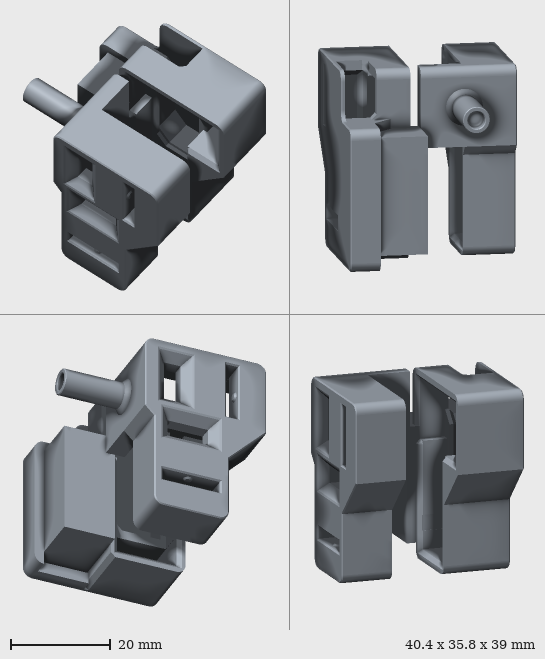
import cadquery as cq

WALL = 2.0
EDGE_BREAK = 0.25
CORNER_REACH = 0.4

HEIGHT = 39.05
TOTAL_DEPTH = 35.8
RIGHT = 26.48
LEG_LEFT = WALL
LEG_RIGHT = 18.32
STEP_Z = 22.85

CAVITY_DEPTH = 6.05
LIP = 0.85
CAVITY_RIGHT = 24.55
CAVITY_LEDGE_Z = 24.38
CAVITY_LEG_LEFT = 3.67
CAVITY_LEG_RIGHT = 16.65
CAVITY_BOTTOM = 1.95

WINDOWS = [(2.7, 10.75, 24.38, 37.37), (3.5, 16.7, 15.8, 23.77)]
RIM_WIDTH = 0.4
RIM_DEPTH = 0.15
FUNNEL_DEPTH = 1.78
HEAD_SLOT = (17.45, 20.65, 24.38, 37.45)
LEG_SLOT = (3.55, 16.7, 5.8, 9.05)
REAR_HEAD_SLOT = (17.65, 20.65, CAVITY_LEDGE_Z, 37.05)
SLOT_RIM = 0.32

BUMP_DIAMETER = 2.0
BUMP_TOP_DIAMETER = 1.37
BUMP_HEIGHT = 0.35
BUMP_DEPTH = 2.0

FRONT_DEPTH = 10.65
TAB_BACK = 19.57
TAB_THICKNESS = 4.1

NOZZLE_TIP_X = -13.9
NOZZLE_Y = 10.75
NOZZLE_Z = 30.9
NOZZLE_DIAMETER = 5.5
NOZZLE_BORE = 3.47
NOZZLE_BORE_DEPTH = 2.42
BORE_END_ROUND = 0.52
BORE_MOUTH_CHAMFER = 0.2
NOZZLE_FLARE = 1.0
NOZZLE_TIP_CHAMFER = 0.15

REAR_FRONT = 21.67
PLATE_INNER_Y = 35.0
REAR_CORNER_CHAMFER = 0.95
ARM_LEFT = -11.1
ARM_TOP = 29.05
ARM_FRONT = 29.7
ARM_FLOOR = 2.45
ARM_FLOOR_FRONT = 32.7
GUSSET_START_X = -3.95

POCKET_FRONT = 29.6
POCKET_TAPER = 1.0
POCKET_NOTCH_RIGHT = 10.85
POCKET_RIGHT = 16.55
POCKET_LEFT = 3.9
POCKET_BOTTOM = 10.0
POCKET_BOTTOM_CHAMFER = 2.83
POCKET_TOP_CHAMFER = 2.0
OVERSHOOT = 4.05

BLOCK_LEFT = -9.0
BLOCK_FRONT = 19.75
BLOCK_BOTTOM = 3.0
BLOCK_TOP = ARM_TOP - WALL


def box(x_min, x_max, y_min, y_max, z_min, z_max):
    size = (x_max - x_min, y_max - y_min, z_max - z_min)
    return cq.Workplane("XY").box(*size, centered=False).translate((x_min, y_min, z_min))


def prism(points, y_min, y_max):
    """Solid with an XZ outline, from y_min to y_max."""
    plane = cq.Workplane("XZ", origin=(0, y_max, 0))
    return plane.polyline(points).close().extrude(y_max - y_min)


def tapered_prism(points, y_start, depth, outset=0.0):
    """XZ outline that grows by outset, then shrinks at 45 degrees along Y (either sense)."""
    if depth < 0:
        sketch = cq.Workplane("XZ", origin=(0, y_start, 0)).polyline(points).close()
    else:
        swapped = [(z, x) for x, z in points]
        sketch = cq.Workplane("ZX", origin=(0, y_start, 0)).polyline(swapped).close()
    if outset:
        sketch = sketch.offset2D(outset, "intersection")
    return sketch.extrude(abs(depth), taper=45)


def rectangle(x_min, x_max, z_min, z_max):
    return [(x_min, z_min), (x_max, z_min), (x_max, z_max), (x_min, z_max)]


def shrink(bounds, inset):
    x_min, x_max, z_min, z_max = bounds
    return (x_min + inset, x_max - inset, z_min + inset, z_max - inset)


def cavity(y_open, direction):
    """Stepped cavity with a chamfered mouth at y_open, running along direction (+1 or -1)."""
    outline = [
        (WALL, HEIGHT - WALL), (CAVITY_RIGHT, HEIGHT - WALL),
        (CAVITY_RIGHT, CAVITY_LEDGE_Z), (CAVITY_LEG_RIGHT, CAVITY_LEDGE_Z),
        (CAVITY_LEG_RIGHT, CAVITY_BOTTOM), (CAVITY_LEG_LEFT, CAVITY_BOTTOM),
        (CAVITY_LEG_LEFT, CAVITY_LEDGE_Z), (WALL, CAVITY_LEDGE_Z),
    ]
    y_floor = y_open + direction * CAVITY_DEPTH
    body = prism(outline, min(y_open, y_floor), max(y_open, y_floor))
    return body.union(tapered_prism(outline, y_open, direction * LIP, LIP))


def right_side_outline():
    """Outline points from the top right corner down to the bottom right corner."""
    return [
        (RIGHT, HEIGHT), (RIGHT, STEP_Z),
        (LEG_RIGHT, STEP_Z - (RIGHT - LEG_RIGHT)), (LEG_RIGHT, 0),
    ]


def edges_at_corner(x, z):
    """Selector for the edges along Y at one corner of an XZ outline."""
    return cq.selectors.BoxSelector(
        (x - CORNER_REACH, -CORNER_REACH, z - CORNER_REACH),
        (x + CORNER_REACH, TOTAL_DEPTH + CORNER_REACH, z + CORNER_REACH),
    )


def round_corners(body, corners, radius):
    """Round the edges along Y that pass through the given (x, z) corners."""
    for x, z in corners:
        body = body.edges("|Y").edges(edges_at_corner(x, z)).fillet(radius)
    return body



def window_cutter(bounds):
    """Shallow rim, 45 degree funnel, then a straight throat into the cavity."""
    inner = shrink(bounds, RIM_WIDTH)
    throat = shrink(inner, FUNNEL_DEPTH)
    x_min, x_max, z_min, z_max = bounds
    rim = (
        cq.Workplane("ZX")
        .center((z_min + z_max) / 2, (x_min + x_max) / 2)
        .rect(z_max - z_min, x_max - x_min)
        .workplane(offset=RIM_DEPTH)
        .rect(inner[3] - inner[2], inner[1] - inner[0])
        .loft(ruled=True)
    )
    funnel = tapered_prism(rectangle(*inner), RIM_DEPTH, FUNNEL_DEPTH)
    return rim.union(funnel).union(prism(rectangle(*throat), RIM_DEPTH, FRONT_DEPTH))


def slot_cutter(bounds):
    inner = rectangle(*shrink(bounds, SLOT_RIM))
    return prism(inner, 0, FRONT_DEPTH).union(tapered_prism(inner, 0, SLOT_RIM, SLOT_RIM))


def bump(position, direction):
    """Low truncated cone standing on a slot wall."""
    cone = cq.Solid.makeCone(
        BUMP_DIAMETER / 2, BUMP_TOP_DIAMETER / 2, BUMP_HEIGHT,
        cq.Vector(*position), cq.Vector(*direction),
    )
    return cq.Workplane(cone)


def slot_bumps():
    """One bump in the middle of each long wall of both slots."""
    x_min, x_max, z_min, z_max = shrink(HEAD_SLOT, SLOT_RIM)
    middle = (z_min + z_max) / 2
    bumps = [
        bump((x_min, BUMP_DEPTH, middle), (1, 0, 0)),
        bump((x_max, BUMP_DEPTH, middle), (-1, 0, 0)),
    ]
    x_min, x_max, z_min, z_max = shrink(LEG_SLOT, SLOT_RIM)
    middle = (x_min + x_max) / 2
    bumps.append(bump((middle, BUMP_DEPTH, z_min), (0, 0, 1)))
    bumps.append(bump((middle, BUMP_DEPTH, z_max), (0, 0, -1)))
    return bumps


def nozzle():
    """Hose nozzle along X with a flared root."""
    radius = NOZZLE_DIAMETER / 2
    profile = [
        (NOZZLE_TIP_X, 0), (NOZZLE_TIP_X, radius - NOZZLE_TIP_CHAMFER),
        (NOZZLE_TIP_X + NOZZLE_TIP_CHAMFER, radius), (-NOZZLE_FLARE, radius),
        (0, radius + NOZZLE_FLARE), (0, 0),
    ]
    body = cq.Workplane("XY").polyline(profile).close().revolve(360, (0, 0), (1, 0))
    return body.translate((0, NOZZLE_Y, NOZZLE_Z))


def nozzle_bore():
    """Blind bore with a chamfered mouth and a rounded end."""
    radius = NOZZLE_BORE / 2
    body = cq.Workplane("YZ", origin=(NOZZLE_TIP_X, NOZZLE_Y, NOZZLE_Z)).circle(radius)
    body = body.extrude(NOZZLE_BORE_DEPTH).faces(">X").edges().fillet(BORE_END_ROUND)
    mouth = cq.Solid.makeCone(
        radius + BORE_MOUTH_CHAMFER, radius, BORE_MOUTH_CHAMFER,
        cq.Vector(NOZZLE_TIP_X, NOZZLE_Y, NOZZLE_Z), cq.Vector(1, 0, 0),
    )
    return body.union(cq.Workplane(mouth))


def make_front_housing():
    outline = [
        (0, HEIGHT), *right_side_outline(),
        (LEG_LEFT, 0), (LEG_LEFT, STEP_Z - LEG_LEFT), (0, STEP_Z),
    ]
    body = prism(outline, 0, FRONT_DEPTH)
    body = body.union(box(0, TAB_THICKNESS, FRONT_DEPTH, TAB_BACK, STEP_Z, HEIGHT))
    corners = [(0, HEIGHT), (RIGHT, HEIGHT), (LEG_RIGHT, 0), (LEG_LEFT, 0)]
    body = round_corners(body, corners, WALL)
    body = body.faces("<Y").edges().chamfer(EDGE_BREAK)
    tab_root = box(0, TAB_THICKNESS, 0, FRONT_DEPTH, STEP_Z, HEIGHT)
    body = body.cut(cavity(FRONT_DEPTH, -1).cut(tab_root))
    for bounds in WINDOWS:
        body = body.cut(window_cutter(bounds))
    for bounds in (HEAD_SLOT, LEG_SLOT):
        body = body.cut(slot_cutter(bounds))
    for detent in slot_bumps():
        body = body.union(detent)
    return body.union(nozzle()).cut(nozzle_bore())



def back_plate():
    """Thin plate behind the head, the leg and the arm."""
    outline = [
        (0, HEIGHT), *right_side_outline(),
        (ARM_LEFT, 0), (ARM_LEFT, ARM_TOP), (0, ARM_TOP),
    ]
    body = prism(outline, PLATE_INNER_Y, TOTAL_DEPTH)
    corners = [
        (0, HEIGHT), (RIGHT, HEIGHT), (LEG_RIGHT, 0),
        (ARM_LEFT, 0), (ARM_LEFT, ARM_TOP), (0, ARM_TOP),
    ]
    body = round_corners(body, corners, WALL)
    return body.faces(">Y").edges().chamfer(EDGE_BREAK)


def rear_shell():
    """Head and leg in front of the back plate, with the cavity."""
    outline = [
        (0, HEIGHT), *right_side_outline(),
        (LEG_LEFT, 0), (LEG_LEFT, BLOCK_TOP), (0, BLOCK_TOP),
    ]
    body = prism(outline, REAR_FRONT, PLATE_INNER_Y)
    body = round_corners(body, [(0, HEIGHT), (RIGHT, HEIGHT), (LEG_RIGHT, 0)], WALL)
    body = body.edges("|Y").edges(edges_at_corner(LEG_LEFT, 0)).chamfer(REAR_CORNER_CHAMFER)
    return body.cut(cavity(REAR_FRONT, 1))


def pocket():
    """Pocket open to the left and the top; it closes in at 45 degrees, then meets the cavity."""
    slope = POCKET_LEFT - LEG_LEFT
    ceiling = HEIGHT - WALL
    outline = [
        (-OVERSHOOT, HEIGHT + OVERSHOOT), (POCKET_NOTCH_RIGHT, HEIGHT + OVERSHOOT),
        (POCKET_NOTCH_RIGHT, ceiling), (POCKET_RIGHT, ceiling), (POCKET_RIGHT, POCKET_BOTTOM),
        (POCKET_LEFT + POCKET_BOTTOM_CHAMFER, POCKET_BOTTOM),
        (POCKET_LEFT, POCKET_BOTTOM + POCKET_BOTTOM_CHAMFER), (POCKET_LEFT, ARM_TOP - slope),
        (LEG_LEFT, ARM_TOP), (-OVERSHOOT, ARM_TOP),
    ]
    throat_start = POCKET_FRONT - POCKET_TAPER
    throat = (
        cq.Workplane("XZ", origin=(0, throat_start, 0))
        .polyline(outline).close()
        .offset2D(-POCKET_TAPER, "intersection")
        .extrude(throat_start - REAR_FRONT)
        .intersect(box(LEG_LEFT, POCKET_RIGHT, REAR_FRONT, throat_start, 0, ceiling))
    )
    body = prism(outline, POCKET_FRONT, PLATE_INNER_Y)
    body = body.union(tapered_prism(outline, POCKET_FRONT, -POCKET_TAPER)).union(throat)
    top_corner = [
        (POCKET_RIGHT - POCKET_TOP_CHAMFER, ceiling), (POCKET_RIGHT, ceiling),
        (POCKET_RIGHT, ceiling - POCKET_TOP_CHAMFER),
    ]
    return body.cut(prism(top_corner, REAR_FRONT, PLATE_INNER_Y))


def arm():
    """Shell that holds the sliding block, with a gusset along its top wall."""
    body = box(ARM_LEFT, LEG_LEFT, ARM_FRONT, PLATE_INNER_Y, 0, ARM_TOP)
    body = round_corners(body, [(ARM_LEFT, 0), (ARM_LEFT, ARM_TOP)], WALL)
    body = body.cut(box(ARM_LEFT + WALL, LEG_LEFT, 0, PLATE_INNER_Y, ARM_FLOOR, BLOCK_TOP))
    body = body.cut(box(ARM_LEFT + WALL, LEG_LEFT, 0, ARM_FLOOR_FRONT, 0, ARM_FLOOR))
    gusset = (
        cq.Workplane("XY", origin=(0, 0, BLOCK_TOP))
        .moveTo(GUSSET_START_X, ARM_FRONT)
        .lineTo(0, ARM_FRONT + GUSSET_START_X)
        .lineTo(0, ARM_FRONT)
        .close()
        .extrude(WALL)
    )
    return body.union(gusset)


def make_rear_housing():
    body = rear_shell().cut(pocket())
    body = body.union(arm()).union(back_plate())
    for bounds in (REAR_HEAD_SLOT, LEG_SLOT):
        body = body.cut(prism(rectangle(*bounds), REAR_FRONT, TOTAL_DEPTH))
    return body



def make_block():
    return box(BLOCK_LEFT, LEG_LEFT, BLOCK_FRONT, PLATE_INNER_Y, BLOCK_BOTTOM, BLOCK_TOP)


front_housing = make_front_housing()
rear_housing = make_rear_housing()
block = make_block()

result = cq.Compound.makeCompound([front_housing.val(), rear_housing.val(), block.val()])